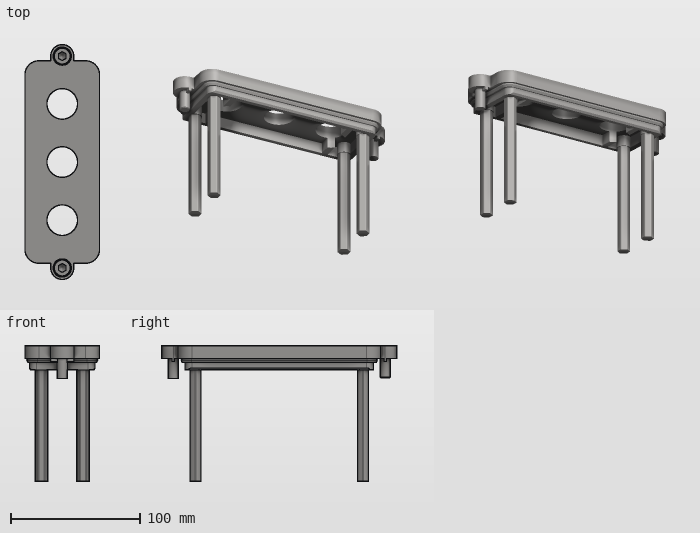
import cadquery as cq
import math


total_height = 105.0
overall_length = 182.0
ends = (-1, 1)
sides = (-1, 1)

plate_width = 58.0
plate_length = 157.0
plate_thickness = 10.0
plate_corner_radius = 11.0

lug_radius = 9.0
lug_y = overall_length / 2 - lug_radius
bar_width = 2.2
bar_height = 2.2
bar_bottom = -plate_thickness - bar_height

hole_diameter = 23.5
hole_pitch = 45.0
hole_count = 3

frame_width = 51.0
frame_length = 146.0
frame_height = 8.7
frame_corner_radius = 5.5
frame_bottom = -plate_thickness - frame_height
bevel_width = 1.0
bevel_height = 1.6
cavity_width = 42.0
cavity_length = 136.0
cavity_corner_radius = 3.0

rib_thickness = 5.0
rib_y = 50.5

lip_width = 55.0
lip_length = 152.0
lip_corner_radius = 8.2
lip_upper_height = 1.2
lip_upper_inset = 0.6
lip_lower_height = 1.8
lip_lower_inset = 0.9
lip_ridge = -plate_thickness - lip_upper_height

leg_x = 16.1
leg_y = 64.8
leg_across_corners = 10.1
leg_edge_radius = 0.9
leg_boss_diameter = 11.0

counterbore_diameter = 14.2
head_diameter = 13.0
head_chamfer = 0.4
head_recess = 0.6
head_height = 8.0
head_seat = -head_recess - head_height
shank_diameter = 8.0
socket_across_flats = 6.0
socket_across_corners = socket_across_flats / math.cos(math.radians(30))
socket_depth = 2.3
socket_cone_depth = 2.0
fixed_screw_end = -25.4
loose_screw_end = -25.0
loose_screw_chamfer = 0.6


def at_height(z):
    return cq.Workplane("XY").workplane(offset=z)


def rounded_block(width, length, radius, top, bottom):
    block = at_height(bottom).rect(width, length).extrude(top - bottom)
    return block.edges("|Z").fillet(radius)


def cylinder(x, y, diameter, top, bottom):
    return at_height(bottom).center(x, y).circle(diameter / 2).extrude(top - bottom)


def make_lug(y):
    def lug_outline(top, height):
        neck = at_height(top).center(0, y / 2).rect(2 * lug_radius, abs(y)).extrude(-height)
        return neck.union(cylinder(0, y, 2 * lug_radius, top, top - height))

    bar_area = at_height(bar_bottom).center(0, y).rect(2 * lug_radius, bar_width).extrude(bar_height)
    bar = lug_outline(-plate_thickness, bar_height).intersect(bar_area)
    return lug_outline(0, plate_thickness).union(bar)


def make_lip():
    def tapered_ring(height, inset):
        outline = cq.Sketch().rect(lip_width, lip_length).vertices().fillet(lip_corner_radius)
        taper = math.degrees(math.atan(inset / abs(height)))
        return at_height(lip_ridge).placeSketch(outline).extrude(height, taper=taper)

    upper = tapered_ring(lip_upper_height, lip_upper_inset)
    lower = tapered_ring(-lip_lower_height, lip_lower_inset)
    return upper.union(lower)


def make_frame():
    frame = rounded_block(frame_width, frame_length, frame_corner_radius, -plate_thickness, frame_bottom)
    for side in sides:
        outer_x = side * frame_width / 2
        bevel = (
            cq.Workplane("XZ", origin=(0, frame_length / 2, 0))
            .moveTo(outer_x, frame_bottom)
            .lineTo(outer_x, frame_bottom + bevel_height)
            .lineTo(outer_x - side * bevel_width, frame_bottom)
            .close()
            .extrude(frame_length)
        )
        frame = frame.cut(bevel)
    return frame


def make_rib(y):
    return at_height(frame_bottom).center(0, y).rect(cavity_width, rib_thickness).extrude(frame_height)


def make_leg(x, y):
    boss = cylinder(x, y, leg_boss_diameter, -plate_thickness, frame_bottom)
    leg = at_height(-total_height).center(x, y).polygon(6, leg_across_corners)
    leg = leg.extrude(total_height - plate_thickness).edges("|Z").fillet(leg_edge_radius)
    return boss.union(leg)


def make_socket(y):
    depth = socket_depth + socket_cone_depth
    prism = at_height(-head_recess).polygon(6, socket_across_corners).extrude(-depth)
    prism = prism.rotate((0, 0, 0), (0, 0, 1), 30)
    bore = (
        cq.Workplane("XZ", origin=(0, 0, -head_recess))
        .lineTo(socket_across_corners / 2, 0)
        .lineTo(socket_across_corners / 2, -socket_depth)
        .lineTo(0, -depth)
        .close()
        .revolve(360, (0, 0, 0), (0, 1, 0))
    )
    return prism.intersect(bore).translate((0, y, 0))


def make_screw(y, shank_end):
    head = cylinder(0, y, head_diameter, -head_recess, head_seat).faces(">Z").chamfer(head_chamfer)
    shank = cylinder(0, y, shank_diameter, head_seat, shank_end)
    return head.union(shank).cut(make_socket(y))


def make_housing():
    housing = rounded_block(plate_width, plate_length, plate_corner_radius, 0, -plate_thickness)
    cavity = rounded_block(cavity_width, cavity_length, cavity_corner_radius, -plate_thickness, frame_bottom)
    housing = housing.union(make_lip()).union(make_frame()).cut(cavity)
    for end in ends:
        housing = housing.union(make_rib(end * rib_y))
        for side in sides:
            housing = housing.union(make_leg(side * leg_x, end * leg_y))

    for end in ends:
        housing = housing.union(make_lug(end * lug_y))
        housing = housing.cut(cylinder(0, end * lug_y, counterbore_diameter, 0, head_seat))
        housing = housing.cut(cylinder(0, end * lug_y, shank_diameter, head_seat, bar_bottom))

    for index in range(hole_count):
        hole_y = (index - (hole_count - 1) / 2) * hole_pitch
        housing = housing.cut(cylinder(0, hole_y, hole_diameter, 0, frame_bottom))
    return housing.union(make_screw(-lug_y, fixed_screw_end))


housing = make_housing()
loose_screw = make_screw(lug_y, loose_screw_end).faces("<Z").chamfer(loose_screw_chamfer)

result = cq.Compound.makeCompound([housing.val(), loose_screw.val()])